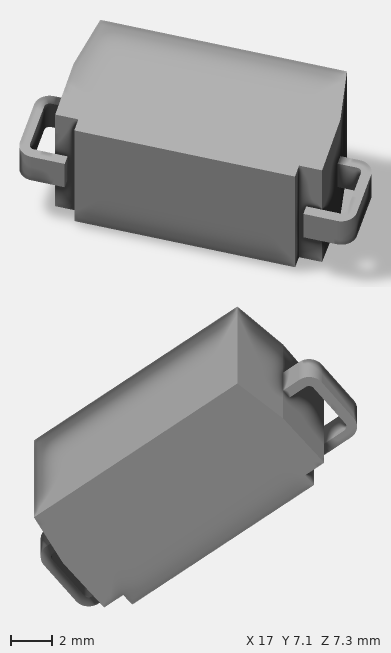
import cadquery as cq

OVERALL_LENGTH = 17.0
OVERALL_DEPTH = 7.1

BODY_LENGTH = 13.46
BODY_BACK_LENGTH = 12.45
BODY_BACK_HEIGHT = 7.3
BODY_FRONT_HEIGHT = 6.6
BODY_DEPTH = 6.99
BACK_TAPER_DEPTH = 3.0
PAD_LENGTH = 11.14
PAD_DEPTH = 0.71

LEAD_THICKNESS = 0.51
LEAD_WIDTH = 1.7
BEND_RADIUS = 0.78
FOOT_LENGTH = 2.48

lead_front = -OVERALL_DEPTH / 2
body_back = OVERALL_DEPTH / 2
body_front = body_back - BODY_DEPTH
lead_back = body_back - BACK_TAPER_DEPTH


def make_body():
    """Stepped, tapered plan outline, trimmed to a height that shrinks toward the front."""
    step_y = body_front + PAD_DEPTH
    half_outline = [
        (PAD_LENGTH / 2, body_front),
        (PAD_LENGTH / 2, step_y),
        (BODY_LENGTH / 2, step_y),
        (BODY_LENGTH / 2, lead_back),
        (BODY_BACK_LENGTH / 2, body_back),
    ]
    mirrored_half = [(-x, y) for x, y in reversed(half_outline)]
    plan = (
        cq.Workplane("XY")
        .polyline(half_outline + mirrored_half)
        .close()
        .extrude(BODY_BACK_HEIGHT / 2, both=True)
    )
    side_profile = (
        cq.Workplane("YZ")
        .polyline([
            (body_front, -BODY_FRONT_HEIGHT / 2),
            (body_back, -BODY_BACK_HEIGHT / 2),
            (body_back, BODY_BACK_HEIGHT / 2),
            (body_front, BODY_FRONT_HEIGHT / 2),
        ])
        .close()
        .extrude(BODY_LENGTH / 2, both=True)
    )
    return plan.intersect(side_profile)


def lead_block(x_start, x_end, y_front, y_back, corner_radius):
    """Block across the lead width with its two outward (+X) corners rounded."""
    return (
        cq.Workplane("XY")
        .box(x_end - x_start, y_back - y_front, LEAD_WIDTH)
        .edges("|Z and >X")
        .fillet(corner_radius)
        .translate(((x_start + x_end) / 2, (y_front + y_back) / 2, 0))
    )


def make_lead(side):
    """C-shaped strip at the +X (side = 1) or -X (side = -1) end, folded forward and back in."""
    outer_x = OVERALL_LENGTH / 2
    body_side = BODY_LENGTH / 2
    foot_tip = outer_x - FOOT_LENGTH
    outside = lead_block(foot_tip, outer_x, lead_front, lead_back, BEND_RADIUS)
    inside = lead_block(
        foot_tip,
        outer_x - LEAD_THICKNESS,
        lead_front + LEAD_THICKNESS,
        lead_back - LEAD_THICKNESS,
        BEND_RADIUS - LEAD_THICKNESS,
    )
    arm_trim = (
        cq.Workplane("XY")
        .box(body_side - foot_tip, LEAD_THICKNESS, LEAD_WIDTH)
        .translate(((foot_tip + body_side) / 2, lead_back - LEAD_THICKNESS / 2, 0))
    )
    lead = outside.cut(inside).cut(arm_trim)
    return lead if side > 0 else lead.mirror("YZ")


body = make_body()

leads = []
for side in (1, -1):
    leads.append(make_lead(side).val())

result = cq.Compound.makeCompound([body.val(), *leads])